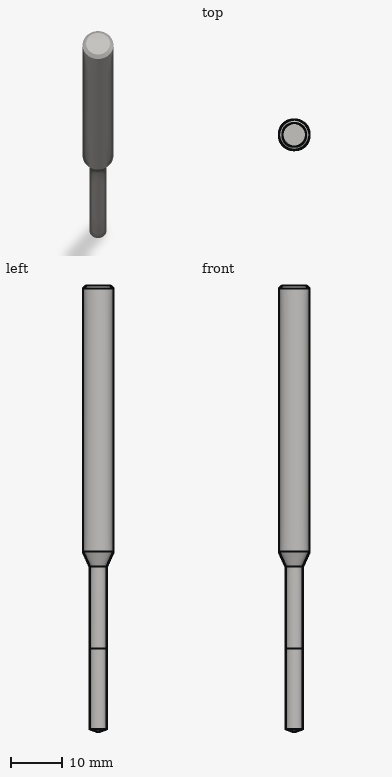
import cadquery as cq
import math

TOTAL_LENGTH = 87.6
SHANK_DIAMETER = 6.0
CUTTER_DIAMETER = 3.4

POINT_ANGLE = 140.0

CUTTER_TOP = 16.4
NECK_TOP = 32.5
TAPER_TOP = 35.4

CHAMFER_WIDTH = 0.7
CHAMFER_HEIGHT = 0.6

SHANK_RADIUS = SHANK_DIAMETER / 2
CUTTER_RADIUS = CUTTER_DIAMETER / 2
POINT_HEIGHT = CUTTER_RADIUS / math.tan(math.radians(POINT_ANGLE / 2))


def revolve_profile(points):
    """Turn a closed (radius, height) outline into a solid around the Z axis."""
    return cq.Workplane("XZ").polyline(points).close().revolve(360, (0, 0, 0), (0, 1, 0))


def make_cutter():
    """Cylindrical cutting section with a conical drill point."""
    return revolve_profile([
        (0, 0),
        (CUTTER_RADIUS, POINT_HEIGHT),
        (CUTTER_RADIUS, CUTTER_TOP),
        (0, CUTTER_TOP),
    ])


def make_shank():
    """Neck as wide as the cutter, a taper, and a chamfered cylindrical shank."""
    return revolve_profile([
        (0, CUTTER_TOP),
        (CUTTER_RADIUS, CUTTER_TOP),
        (CUTTER_RADIUS, NECK_TOP),
        (SHANK_RADIUS, TAPER_TOP),
        (SHANK_RADIUS, TOTAL_LENGTH - CHAMFER_HEIGHT),
        (SHANK_RADIUS - CHAMFER_WIDTH, TOTAL_LENGTH),
        (0, TOTAL_LENGTH),
    ])


cutter = make_cutter()
shank = make_shank()

result = cq.Compound.makeCompound([cutter.val(), shank.val()])